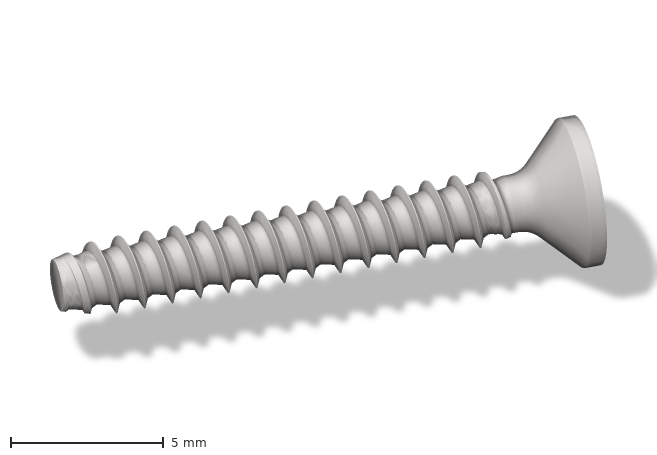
import cadquery as cq
import math


length = 18.0

head_radius = 2.5
rim_height = 0.555
rim_edge_fillet = 0.1
head_cone_angle = 45.0

shank_radius = 0.955
neck_fillet = 1.0
shank_end_depth = 2.72
core_taper_length = 0.55
core_radius = 0.85

pitch = 0.95
crest_radius = 1.25
crest_half_width = 0.015
flank_base_radius = 0.945
flank_base_offset = 0.16
leading_foot_length = 0.18
foot_gap = 0.02
foot_step = 0.005
foot_radius = core_radius + foot_step
buried_radius = 0.7
crest_depth_at_plus_x = 3.97

thread_start_radius = 1.05
full_thread_start_depth = 3.6
full_thread_end_depth = 16.5
thread_end_radius = 0.87
crest_clearance = 0.01
extra_turns = 1


def fillet_arc(radius, depth, fillet, centre_side):
    """Fillet between a cylinder and the head cone, whose sharp corner is at (radius, depth).

    centre_side is -1 with the arc centre inside the cylinder and 1 with it outside.
    Returns the points on the cylinder, midway along the arc and on the cone.
    """
    cone_angle = math.radians(head_cone_angle)
    half_turn = cone_angle / 2
    tangent = fillet * math.tan(half_turn)
    centre_radius = radius + centre_side * fillet
    cylinder_depth = depth + centre_side * tangent
    cylinder_point = (radius, -cylinder_depth)
    middle_point = (
        centre_radius - centre_side * fillet * math.cos(half_turn),
        -(cylinder_depth - centre_side * fillet * math.sin(half_turn)),
    )
    cone_point = (
        radius + centre_side * tangent * math.sin(cone_angle),
        -(depth - centre_side * tangent * math.cos(cone_angle)),
    )
    return cylinder_point, middle_point, cone_point


def make_body():
    """Head, neck, shank and core as one revolved profile."""
    cone_depth = (head_radius - shank_radius) / math.tan(math.radians(head_cone_angle))
    neck_depth = rim_height + cone_depth
    rim_start, rim_middle, rim_end = fillet_arc(head_radius, rim_height, rim_edge_fillet, -1)
    neck_end, neck_middle, neck_start = fillet_arc(shank_radius, neck_depth, neck_fillet, 1)
    return (
        cq.Workplane("XY")
        .lineTo(head_radius, 0)
        .lineTo(*rim_start)
        .threePointArc(rim_middle, rim_end)
        .lineTo(*neck_start)
        .threePointArc(neck_middle, neck_end)
        .lineTo(shank_radius, -shank_end_depth)
        .lineTo(core_radius, -(shank_end_depth + core_taper_length))
        .lineTo(core_radius, -length)
        .lineTo(0, -length)
        .close()
        .revolve(360, (0, 0, 0), (0, 1, 0))
    )


def make_thread_envelope():
    """Solid of revolution that limits the thread, with a cone at each end."""
    clear_radius = crest_radius + crest_clearance
    return (
        cq.Workplane("XY")
        .moveTo(0, -shank_end_depth)
        .lineTo(thread_start_radius, -shank_end_depth)
        .lineTo(clear_radius, -full_thread_start_depth)
        .lineTo(clear_radius, -full_thread_end_depth)
        .lineTo(thread_end_radius, -length)
        .lineTo(0, -length)
        .close()
        .revolve(360, (0, 0, 0), (0, 1, 0))
    )


def make_thread():
    """Right-hand helical ridge with a sloping foot on both sides, trimmed to length."""
    turns_before = math.ceil((crest_depth_at_plus_x - shank_end_depth) / pitch) + extra_turns
    start_depth = crest_depth_at_plus_x - turns_before * pitch
    turns = math.ceil((length - start_depth) / pitch) + extra_turns
    leading_foot = -flank_base_offset - leading_foot_length
    trailing_foot = leading_foot + pitch - foot_gap

    helix = cq.Wire.makeHelix(pitch, turns * pitch, crest_radius)
    ridge = (
        cq.Workplane("XZ")
        .polyline(
            [
                (buried_radius, leading_foot),
                (foot_radius, leading_foot),
                (flank_base_radius, -flank_base_offset),
                (crest_radius, -crest_half_width),
                (crest_radius, crest_half_width),
                (flank_base_radius, flank_base_offset),
                (foot_radius, trailing_foot),
                (buried_radius, trailing_foot),
            ]
        )
        .close()
        .sweep(cq.Workplane(obj=helix), isFrenet=True)
        .rotate((0, 0, 0), (1, 0, 0), 90)
        .translate((0, -start_depth, 0))
    )
    return ridge.intersect(make_thread_envelope())


result = make_body().union(make_thread()).solids()